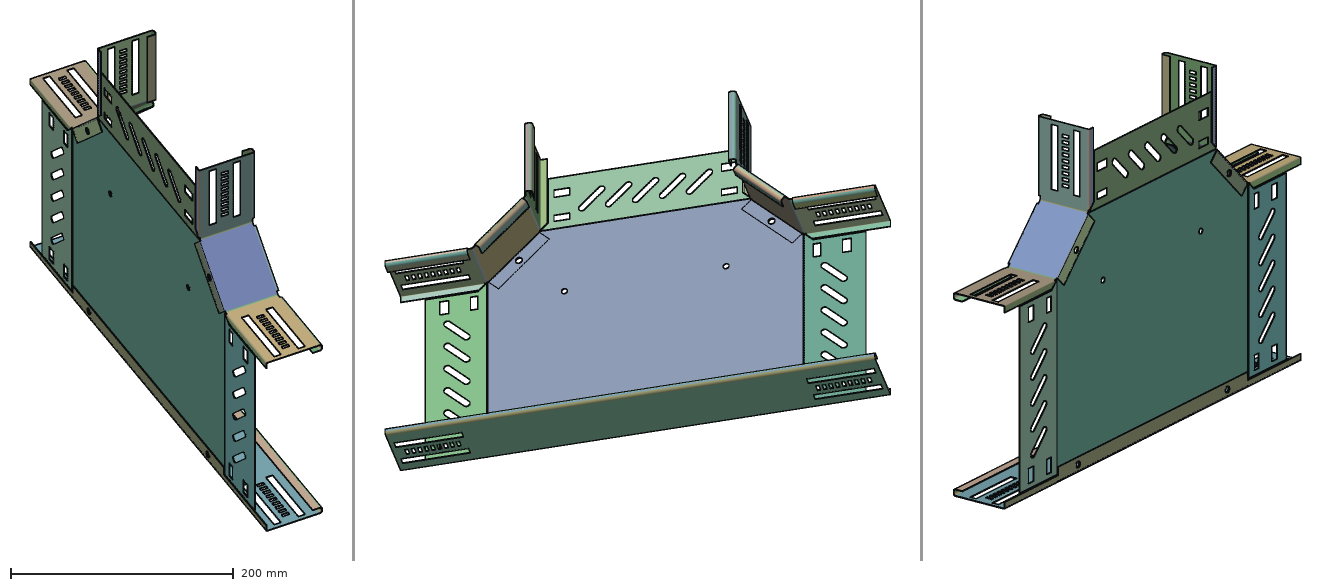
import cadquery as cq
import math


tee_length = 454.0
wall_height = 57.0
channel_width = 196.0
arm_length = 80.0
half_length = tee_length / 2
half_width = channel_width / 2
bend_distance = half_length - arm_length
corner_leg = bend_distance - half_width
tee_height = channel_width + corner_leg + arm_length

sheet = 1.0
flange_bend = 1.5
flange_depth = 7.0
lip_bend = 2.5
lip_depth = 7.3
lip_return = 10.0
lip_relief = 3.5
flange_relief = 2.0
corner_bend = 2.0

corner_flap_depth = 14.0
corner_flap_relief = 1.5
rail_flap_depth = 15.0
rail_flap_half_length = 145.5
rivet_hole_diameter = 6.5
rivet_inset = 7.5
rail_rivet_x = 114.5

base_hole_diameter = 5.5
base_hole_x = 75.0
base_hole_z = 172.5
panel_length = 57.0
panel_half_width = 90.0
panel_neck_length = 1.5
end_slot_height = 14.5
end_slot_offset = 77.5
end_slots = [(12.0, 7.0), (39.5, 8.0)]
slant_slot_count = 5
slant_slot_pitch = 25.0
slant_slot_distance = 27.5
slant_slot_length = 32.0
slant_slot_width = 6.5

perforation_height = 7.0
perforation_middle = 26.5
long_slot_spacing = 24.5
long_slot_start = 4.5
long_slot_length = 62.5
short_slot_count = 9
short_slot_span = 47.5
short_slot_pitch = short_slot_span / (short_slot_count - 1)
short_slot_start = 12.5
short_slot_width = 3.0

arm_end = (-half_length, channel_width)
arm_bend = (-bend_distance, channel_width)
neck_bend = (-half_width, channel_width + corner_leg)
neck_end = (-half_width, tee_height)
corner_middle = ((arm_bend[0] + neck_bend[0]) / 2, (arm_bend[1] + neck_bend[1]) / 2)
corner_rivet = (
    corner_middle[0] + rivet_inset * math.sqrt(0.5),
    corner_middle[1] - rivet_inset * math.sqrt(0.5),
)


def extrude_y(profile_plane, y_from, y_to):
    """Extrude a profile drawn on an XZ plane between two Y levels."""
    return profile_plane.extrude(-(y_to - y_from)).translate((0, y_from, 0))


def sweep_section(start, end, start_gap, end_gap, draw_section):
    """Extrude a wall section from start to end; section x is the depth to the right of travel."""
    run_x = end[0] - start[0]
    run_z = end[1] - start[1]
    length = math.hypot(run_x, run_z)
    along = (run_x / length, run_z / length)
    origin = (start[0] + along[0] * start_gap, 0, start[1] + along[1] * start_gap)
    plane = cq.Plane(origin=origin, xDir=(along[1], 0, -along[0]), normal=(along[0], 0, along[1]))
    return draw_section(cq.Workplane(plane)).extrude(length - start_gap - end_gap)


def flange_section(depth):
    """Flange along the front edge of a wall, with its rounded bend."""
    def draw(plane):
        return (
            plane.moveTo(0, flange_bend)
            .radiusArc((flange_bend, 0), -flange_bend)
            .lineTo(depth, 0)
            .lineTo(depth, sheet)
            .lineTo(flange_bend, sheet)
            .radiusArc((sheet, flange_bend), flange_bend - sheet)
            .close()
        )
    return draw


def lip_section(plane):
    """Lip along the rear edge of a wall: in, then back towards the base."""
    inner_bend = lip_bend - sheet
    bend_level = wall_height - lip_bend
    return (
        plane.moveTo(0, bend_level)
        .radiusArc((lip_bend, wall_height), lip_bend)
        .lineTo(lip_depth - lip_bend, wall_height)
        .radiusArc((lip_depth, bend_level), lip_bend)
        .lineTo(lip_depth, wall_height - lip_return)
        .lineTo(lip_depth - sheet, wall_height - lip_return)
        .lineTo(lip_depth - sheet, bend_level)
        .radiusArc((lip_depth - lip_bend, wall_height - sheet), -inner_bend)
        .lineTo(lip_bend, wall_height - sheet)
        .radiusArc((sheet, bend_level), -inner_bend)
        .close()
    )


def perforation_cutter(free_end, inward_angle):
    """Slots through a wall that runs along +X from its free end, turned about Y to suit."""
    depth = 4 * sheet
    long_slots = (
        cq.Workplane("XY")
        .pushPoints([(0, -long_slot_spacing / 2), (0, long_slot_spacing / 2)])
        .rect(long_slot_length, perforation_height)
        .extrude(depth, both=True)
        .translate((long_slot_start + long_slot_length / 2, perforation_middle, 0))
    )
    short_slots = (
        cq.Workplane("XY")
        .pushPoints([(short_slot_start + i * short_slot_pitch, 0) for i in range(short_slot_count)])
        .rect(short_slot_width, perforation_height)
        .extrude(depth, both=True)
        .translate((0, perforation_middle, 0))
    )
    cutter = long_slots.union(short_slots).rotate((0, 0, 0), (0, 1, 0), inward_angle)
    return cutter.translate((free_end[0], 0, free_end[1]))


def rivet_cutter(x, z, diameter):
    """Round cutter through the front flaps and the base behind them."""
    return extrude_y(cq.Workplane("XZ").center(x, z).circle(diameter / 2), -sheet, 4 * sheet)


def mitre_cutter(bend, away_x, away_z):
    """Triangle that mitres the end of an arm flange at 45 degrees, given the way along the arm."""
    inward = (away_z, away_x)
    leg = 2 * flange_depth
    corner_x = bend[0] + away_x * flange_relief + inward[0] * flange_bend
    corner_z = bend[1] + away_z * flange_relief + inward[1] * flange_bend
    triangle = [
        (corner_x, corner_z),
        (corner_x + inward[0] * leg, corner_z + inward[1] * leg),
        (corner_x + (inward[0] + away_x) * leg, corner_z + (inward[1] + away_z) * leg),
    ]
    return extrude_y(cq.Workplane("XZ").polyline(triangle).close(), 0, flange_bend)


def make_corner_wall():
    """Left corner wall: arm wall, 45 degree wall and neck wall folded from one sheet."""
    inner_shift = sheet * math.tan(math.radians(22.5))
    outline = [
        arm_end,
        arm_bend,
        neck_bend,
        neck_end,
        (neck_end[0] + sheet, neck_end[1]),
        (neck_bend[0] + sheet, neck_bend[1] - inner_shift),
        (arm_bend[0] + inner_shift, arm_bend[1] - sheet),
        (arm_end[0], arm_end[1] - sheet),
    ]
    wall = extrude_y(
        cq.Workplane("XZ").polyline(outline).close(), flange_bend, wall_height - lip_bend
    )
    for x, z in (outline[1], outline[2], outline[5], outline[6]):
        concave_outside = (x, z) in (arm_bend, neck_bend)
        radius = corner_bend if concave_outside else corner_bend + sheet
        edge = cq.selectors.NearestToPointSelector((x, wall_height / 2, z))
        wall = wall.edges("|Y").edges(edge).fillet(radius)
    runs = [
        (arm_end, arm_bend, 0, lip_relief),
        (arm_bend, neck_bend, lip_relief, lip_relief),
        (neck_bend, neck_end, lip_relief, 0),
    ]
    for start, end, start_gap, end_gap in runs:
        wall = wall.union(sweep_section(start, end, start_gap, end_gap, lip_section))
    arm_flange = sweep_section(
        arm_end, arm_bend, 0, flange_relief, flange_section(flange_depth)
    ).cut(mitre_cutter(arm_bend, -1, 0))
    neck_flange = sweep_section(
        neck_bend, neck_end, flange_relief, 0, flange_section(flange_depth)
    ).cut(mitre_cutter(neck_bend, 0, 1))
    wall = wall.union(arm_flange).union(neck_flange)
    flap = sweep_section(
        arm_bend,
        neck_bend,
        corner_flap_relief,
        corner_flap_relief,
        flange_section(corner_flap_depth),
    )
    wall = wall.union(flap)
    wall = wall.cut(perforation_cutter(arm_end, 0))
    wall = wall.cut(perforation_cutter(neck_end, 90))
    return wall.cut(rivet_cutter(*corner_rivet, rivet_hole_diameter))


def make_rail():
    """Straight rear rail with a deeper riveted flap along the middle of its flange."""
    right_end = (half_length, 0)
    left_end = (-half_length, 0)
    rail = cq.Workplane("XY").box(
        tee_length, wall_height - lip_bend - flange_bend, sheet, centered=(True, False, False)
    ).translate((0, flange_bend, 0))
    rail = rail.union(sweep_section(right_end, left_end, 0, 0, lip_section))
    rail = rail.union(sweep_section(right_end, left_end, 0, 0, flange_section(flange_depth)))
    flap_gap = half_length - rail_flap_half_length
    rail = rail.union(
        sweep_section(right_end, left_end, flap_gap, flap_gap, flange_section(rail_flap_depth))
    )
    rail = rail.cut(perforation_cutter(left_end, 0))
    rail = rail.cut(perforation_cutter(right_end, 180))
    for x in (-rail_rivet_x, rail_rivet_x):
        rail = rail.cut(rivet_cutter(x, rivet_inset, rivet_hole_diameter))
    return rail


def make_arm_panel():
    """Perforated panel of the right arm, stepped back to the base plane at its root."""
    root = bend_distance
    tip = root + panel_length
    profile = [
        (root, 0),
        (tip, 0),
        (tip, sheet),
        (root, sheet),
        (root - sheet, 2 * sheet),
        (root - 2 * sheet, 2 * sheet),
        (root - 2 * sheet, sheet),
        (root - sheet, sheet),
    ]
    neck_half_width = half_width - flange_bend
    neck_end_x = root + panel_neck_length
    taper_end_x = neck_end_x + neck_half_width - panel_half_width
    upper_outline = [
        (root - 2 * sheet, neck_half_width),
        (neck_end_x, neck_half_width),
        (taper_end_x, panel_half_width),
        (tip, panel_half_width),
    ]
    lower_outline = [(x, -z) for x, z in reversed(upper_outline)]
    outline = cq.Workplane("XZ").polyline(upper_outline + lower_outline).close()
    panel = (
        cq.Workplane("XY")
        .polyline(profile)
        .close()
        .extrude(half_width, both=True)
        .intersect(extrude_y(outline, 0, 2 * sheet))
        .translate((0, 0, half_width))
    )
    slots = cq.Workplane("XZ").center(root, half_width)
    for distance, width in end_slots:
        corners = [(distance, -end_slot_offset), (distance, end_slot_offset)]
        cutter = slots.pushPoints(corners).rect(width, end_slot_height).extrude(-sheet)
        panel = panel.cut(cutter)
    middle = (slant_slot_count - 1) / 2
    centres = [
        (slant_slot_distance, (i - middle) * slant_slot_pitch) for i in range(slant_slot_count)
    ]
    slanted = slots.pushPoints(centres).slot2D(slant_slot_length, slant_slot_width, 45)
    return panel.cut(slanted.extrude(-sheet))


def make_base():
    """Base plate lying behind the flaps, with the three arms in the flap plane."""
    side = bend_distance - sheet
    top = half_width + bend_distance - sheet
    diagonal_offset = channel_width + bend_distance - flange_bend * math.sqrt(2)
    shoulder_z = diagonal_offset - side
    neck_x = diagonal_offset - top
    outline = [
        (-side, flange_bend),
        (side, flange_bend),
        (side, shoulder_z),
        (neck_x, top),
        (-neck_x, top),
        (-side, shoulder_z),
    ]
    base = extrude_y(cq.Workplane("XZ").polyline(outline).close(), sheet, 2 * sheet)
    panel = make_arm_panel()
    for angle in (0, -90, 180):
        base = base.union(panel.rotate((0, 0, half_width), (0, 1, half_width), angle))
    rail_clearance = cq.Workplane("XY").box(
        tee_length, sheet, half_width - panel_half_width, centered=(True, False, False)
    )
    base = base.cut(rail_clearance)
    for side_sign in (-1, 1):
        base = base.cut(rivet_cutter(side_sign * base_hole_x, base_hole_z, base_hole_diameter))
        base = base.cut(rivet_cutter(side_sign * rail_rivet_x, rivet_inset, rivet_hole_diameter))
        base = base.cut(
            rivet_cutter(side_sign * corner_rivet[0], corner_rivet[1], rivet_hole_diameter)
        )
    return base


base = make_base()
rail = make_rail()
left_corner_wall = make_corner_wall()
right_corner_wall = left_corner_wall.mirror("YZ")

result = cq.Compound.makeCompound(
    [base.val(), rail.val(), left_corner_wall.val(), right_corner_wall.val()]
)